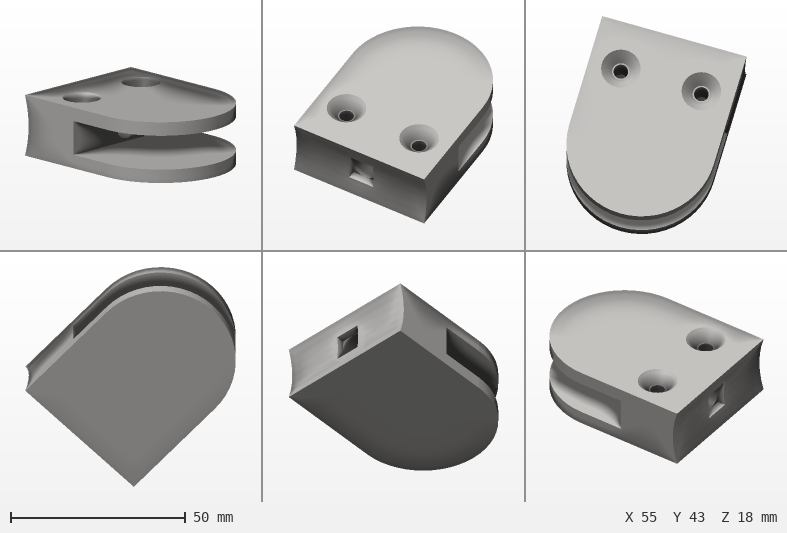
import cadquery as cq
import math

length = 55.0
width = 43.0
height = 18.0
end_radius = width / 2
straight_length = length - end_radius

saddle_depth = 1.5
saddle_radius = ((height / 2) ** 2 + saddle_depth ** 2) / (2 * saddle_depth)

slot_start = 19.65
slot_height = 10.0

bore_width = 7.8
bore_height = 8.2
bore_corner_radius = 3.7
mouth_depth = 2.1
mouth_floor = saddle_depth + mouth_depth

screw_x = 13.55
screw_spacing = 24.0
sink_diameter = 11.3
sink_floor_diameter = 5.0
pilot_diameter = 4.2
pilot_depth = 13.2
drill_point_angle = 118.0


def make_body():
    return (
        cq.Workplane("XY", origin=(0, 0, -height / 2))
        .moveTo(0, -width / 2)
        .lineTo(straight_length, -width / 2)
        .threePointArc((length, 0), (straight_length, width / 2))
        .lineTo(0, width / 2)
        .close()
        .extrude(height)
    )


def make_saddle():
    return (
        cq.Workplane("XZ")
        .center(saddle_depth - saddle_radius, 0)
        .circle(saddle_radius)
        .extrude(width / 2, both=True)
    )


def make_slot():
    slot = cq.Workplane("XY").box(length, width, slot_height, centered=(False, True, True))
    return slot.translate((slot_start, 0, 0))


def make_mounting_bore():
    mouth = cq.Workplane("YZ").rect(bore_width, bore_height).extrude(mouth_floor)
    bore = (
        cq.Workplane("YZ")
        .rect(bore_width, bore_height)
        .extrude(slot_start)
        .edges("|X")
        .fillet(bore_corner_radius)
    )
    return bore.union(mouth)


def make_screw_hole(y):
    top = height / 2
    sink_radius = sink_diameter / 2
    sink_floor_radius = sink_floor_diameter / 2
    pilot_radius = pilot_diameter / 2
    sink_floor = top - (sink_radius - sink_floor_radius)
    pilot_floor = top - pilot_depth
    point_depth = pilot_radius / math.tan(math.radians(drill_point_angle / 2))
    profile = [
        (0, top),
        (sink_radius, top),
        (sink_floor_radius, sink_floor),
        (pilot_radius, sink_floor),
        (pilot_radius, pilot_floor),
        (0, pilot_floor - point_depth),
    ]
    hole = cq.Workplane("XZ").polyline(profile).close().revolve(360, (0, 0, 0), (0, 1, 0))
    return hole.translate((screw_x, y, 0))


result = make_body().cut(make_saddle()).cut(make_slot()).cut(make_mounting_bore())
for side in (-1, 1):
    result = result.cut(make_screw_hole(side * screw_spacing / 2))